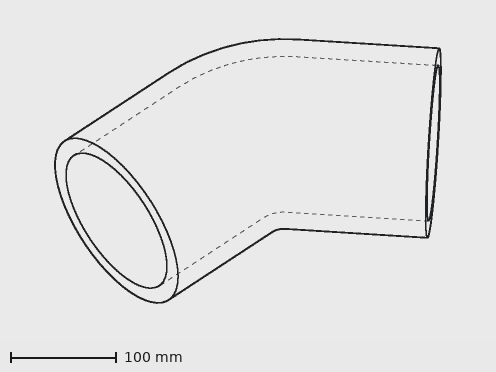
import cadquery as cq
import math

outer_diameter = 180.0
wall = 16.3
bend_angle = 45.0
bend_radius = 91.0
inlet_length = 131.0
outlet_length = 134.5

bore_diameter = outer_diameter - 2 * wall
angle = math.radians(bend_angle)


def bend_point(turn):
    """Centreline point after turning by the given angle about the bend centre."""
    return (
        bend_radius * (1 - math.cos(turn)),
        inlet_length + bend_radius * math.sin(turn),
    )


def elbow_solid(diameter):
    """Solid rod following the elbow centreline, starting at the inlet face."""
    profile = cq.Workplane("XZ").circle(diameter / 2)
    inlet = profile.extrude(-inlet_length)

    bend = (
        cq.Workplane("XZ", origin=(0, inlet_length, 0))
        .circle(diameter / 2)
        .revolve(bend_angle, (bend_radius, 3.5, 0), (bend_radius, 0, 0))
    )

    end_x, end_y = bend_point(angle)
    outlet_plane = cq.Plane(
        origin=(end_x, end_y, 0),
        xDir=(0, 0, 1),
        normal=(math.sin(angle), math.cos(angle), 0),
    )
    outlet = cq.Workplane(outlet_plane).circle(diameter / 2).extrude(outlet_length)
    return inlet.union(bend).union(outlet)


result = elbow_solid(outer_diameter).cut(elbow_solid(bore_diameter))